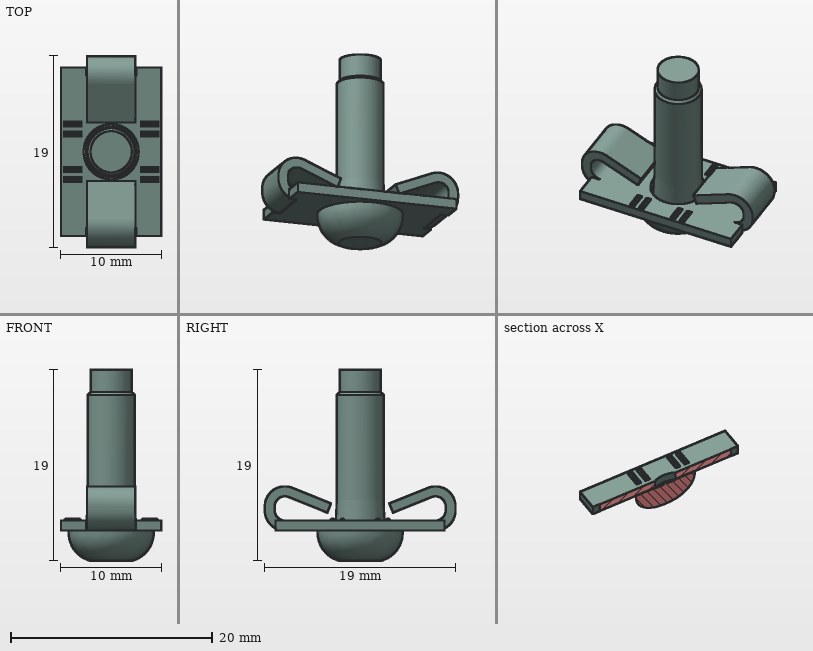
import cadquery as cq
import math

plate_width = 10.0
plate_length = 16.8
sheet = 1.0
hole_diameter = 5.5

overall_length = 19.0
tab_width = 4.83
tab_gap = 0.08
gap_depth = 0.78
tab_height = 4.4
bend_radius = 2 * sheet
tab_angle = 22.0
tab_tip_y = 2.89

rib_length = 1.73
rib_width = 0.5
rib_height = 0.19
rib_slope = 45.0
rib_center_x = 3.84
rib_center_y = 2.26
rib_pitch = 1.0

head_radius = 4.25
head_height = 3.0
head_middle_radius = 3.69
head_middle_depth = 1.9
head_flat_radius = 2.13
shank_radius = 4.7 / 2
point_radius = 4.1 / 2
root_radius = 2.5
root_height = 3.0
shank_end = 13.49
point_length = 2.22
screw_top = overall_length - head_height
point_start = screw_top - point_length


def make_tab():
    """Curled strip at the +Y end, overlapping the plate over the gap depth."""
    angle = math.radians(tab_angle)
    inner_radius = bend_radius - sheet
    center_y = overall_length / 2 - bend_radius
    lower_z = bend_radius
    upper_z = tab_height - bend_radius

    def on_bend(radius, center_z, turn):
        """Point on a bend; the turn is measured from +Y towards +Z."""
        return (center_y + radius * math.cos(turn), center_z + radius * math.sin(turn))

    arm_turn = math.pi / 2 + angle
    arm_start = on_bend(bend_radius, upper_z, arm_turn)
    tip_top = (tab_tip_y, arm_start[1] - (arm_start[0] - tab_tip_y) * math.tan(angle))
    tip_bottom = (
        tip_top[0] + sheet * math.sin(angle),
        tip_top[1] - sheet * math.cos(angle),
    )
    root_y = plate_length / 2 - gap_depth - sheet
    return (
        cq.Workplane("YZ")
        .moveTo(root_y, 0)
        .lineTo(center_y, 0)
        .threePointArc(on_bend(bend_radius, lower_z, -math.pi / 4), on_bend(bend_radius, lower_z, 0))
        .lineTo(*on_bend(bend_radius, upper_z, 0))
        .threePointArc(on_bend(bend_radius, upper_z, arm_turn / 2), arm_start)
        .lineTo(*tip_top)
        .lineTo(*tip_bottom)
        .lineTo(*on_bend(inner_radius, upper_z, arm_turn))
        .threePointArc(on_bend(inner_radius, upper_z, arm_turn / 2), on_bend(inner_radius, upper_z, 0))
        .lineTo(*on_bend(inner_radius, lower_z, 0))
        .threePointArc(on_bend(inner_radius, lower_z, -math.pi / 4), (center_y, sheet))
        .lineTo(root_y, sheet)
        .close()
        .extrude(tab_width / 2, both=True)
    )


def make_ribs():
    """Two pairs of ribs on each side of the hole, on the plate's top face."""
    centers = [
        (side * rib_center_x, end * rib_center_y + step * rib_pitch / 2)
        for side in (-1, 1)
        for end in (-1, 1)
        for step in (-1, 1)
    ]
    return (
        cq.Workplane("XY", origin=(0, 0, sheet))
        .pushPoints(centers)
        .rect(rib_length, rib_width)
        .extrude(rib_height, taper=rib_slope)
    )


def make_retainer():
    plate = cq.Workplane("XY").box(plate_width, plate_length, sheet, centered=(True, True, False))
    end_notches = (
        cq.Workplane("XY")
        .pushPoints([(0, end * (plate_length - gap_depth) / 2) for end in (-1, 1)])
        .rect(tab_width + 2 * tab_gap, gap_depth)
        .extrude(sheet)
    )
    hole = cq.Workplane("XY").circle(hole_diameter / 2).extrude(sheet)
    tab = make_tab()
    return plate.cut(end_notches).cut(hole).union(tab).union(tab.mirror("XZ")).union(make_ribs())


def make_screw():
    """Round-headed screw with a tapered root, a chamfered shank and a plain point."""
    return (
        cq.Workplane("XZ")
        .moveTo(0, -head_height)
        .lineTo(head_flat_radius, -head_height)
        .threePointArc((head_middle_radius, -head_middle_depth), (head_radius, 0))
        .lineTo(root_radius, 0)
        .lineTo(shank_radius, root_height)
        .lineTo(shank_radius, shank_end)
        .lineTo(point_radius, point_start)
        .lineTo(point_radius, screw_top)
        .lineTo(0, screw_top)
        .close()
        .revolve(360, (0, 0, 0), (0, 1, 0))
    )


retainer = make_retainer()
screw = make_screw()
result = cq.Compound.makeCompound([retainer.val(), screw.val()])